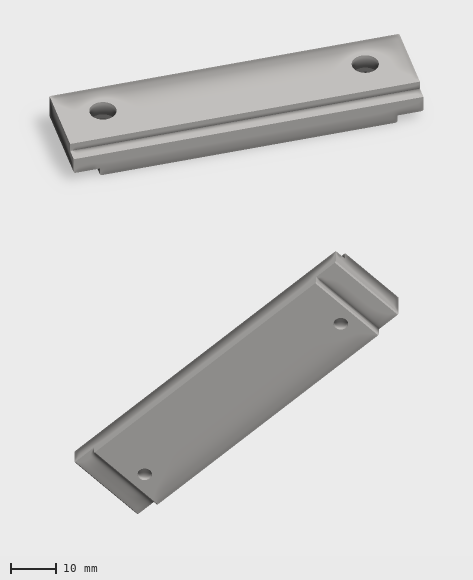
import cadquery as cq

width = 20.0
length = 80.0
height = 8.0

step_width = 3.0
step_depth = 2.0

notch_length = 6.0
notch_height = 2.0
edge_chamfer = 0.3

hole_diameter = 3.2
counterbore_diameter = 6.0
counterbore_depth = 3.5
hole_from_left = 8.0
hole_from_end = 10.0


def make_body():
    """Half of the YZ side profile extruded along X, then mirrored to the +Y half."""
    half_top = length / 2
    half_foot = half_top - notch_length
    return (
        cq.Workplane("YZ")
        .moveTo(-half_top, height)
        .lineTo(-half_top, notch_height + edge_chamfer)
        .lineTo(-half_top + edge_chamfer, notch_height)
        .lineTo(-half_foot, notch_height)
        .lineTo(-half_foot, edge_chamfer)
        .lineTo(-half_foot + edge_chamfer, 0)
        .lineTo(0, 0)
        .lineTo(0, height)
        .close()
        .extrude(width / 2, both=True)
        .mirror("XZ", union=True)
    )


def cut_step(body):
    """Lower the top face along the whole +X side."""
    step = cq.Workplane("XY").box(step_width, length, step_depth, centered=(False, True, False))
    return body.cut(step.translate((width / 2 - step_width, 0, height - step_depth)))


def cut_screw_holes(body):
    """Counterbored through holes, one near each end."""
    hole_x = hole_from_left - width / 2
    hole_y = length / 2 - hole_from_end
    return (
        body.copyWorkplane(cq.Workplane("XY", origin=(0, 0, height)))
        .pushPoints([(hole_x, -hole_y), (hole_x, hole_y)])
        .cboreHole(hole_diameter, counterbore_diameter, counterbore_depth)
    )


result = cut_screw_holes(cut_step(make_body()))